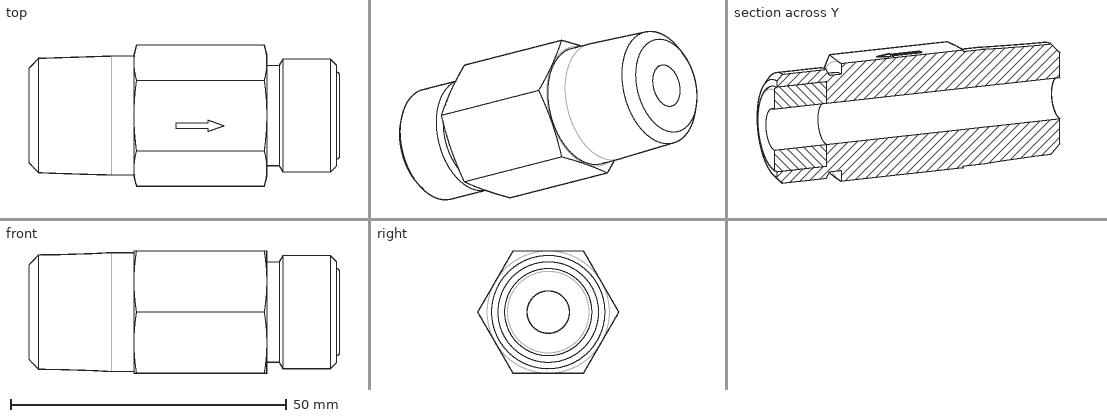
import cadquery as cq
import math


TOTAL_LENGTH = 56.45
BORE_DIAMETER = 7.7

PIPE_DIAMETER = 21.7
PIPE_TAPER = 1 / 16
PIPE_END_DIAMETER = 17.2
PIPE_CHAMFER_LENGTH = 1.75
PIPE_TAPER_LENGTH = 13.2
PIPE_SHANK_LENGTH = 4.1

HEX_SIDES = 6
HEX_ACROSS_FLATS = 22.25
HEX_LENGTH = 24.15
HEX_CHAMFER_ANGLE = 15.0

THREAD_DIAMETER = 20.6
NECK_DIAMETER = 18.3
NECK_LENGTH = 2.25
RUNOUT_ANGLE = 60.0

INSERT_DIAMETER = 15.85
INSERT_PROTRUSION = 0.5

ARROW_START_FROM_END = 26.7
ARROW_SHAFT_LENGTH = 5.8
ARROW_HEAD_LENGTH = 2.95
ARROW_SHAFT_WIDTH = 0.95
ARROW_HEAD_WIDTH = 2.1
ARROW_OFFSET_Y = -1.85
ARROW_DEPTH = 0.1

pipe_radius = PIPE_DIAMETER / 2
pipe_tip_radius = pipe_radius - PIPE_TAPER * PIPE_TAPER_LENGTH / 2
thread_radius = THREAD_DIAMETER / 2
neck_radius = NECK_DIAMETER / 2
hex_across_corners = HEX_ACROSS_FLATS / math.cos(math.pi / HEX_SIDES)

x_start = -TOTAL_LENGTH / 2
x_end = TOTAL_LENGTH / 2
x_taper_start = x_start + PIPE_CHAMFER_LENGTH
x_taper_end = x_taper_start + PIPE_TAPER_LENGTH
x_hex_start = x_taper_end + PIPE_SHANK_LENGTH
x_hex_end = x_hex_start + HEX_LENGTH
x_neck_end = x_hex_end + NECK_LENGTH
thread_depth = thread_radius - neck_radius
x_thread_start = x_neck_end + thread_depth / math.tan(math.radians(RUNOUT_ANGLE))
x_housing_end = x_end - INSERT_PROTRUSION
x_thread_end = x_housing_end - thread_depth


def revolve_profile(points):
    """Revolve a closed (x, radius) outline around the X axis."""
    return cq.Workplane("XY").polyline(points).close().revolve(360, (0, 0, 0), (1, 0, 0))


def cylinder_along_x(diameter, x_from, x_to):
    return cq.Workplane("YZ", origin=(x_from, 0, 0)).circle(diameter / 2).extrude(x_to - x_from)


def make_turned_body():
    """Pipe thread, core under the hexagon, neck and straight thread."""
    return revolve_profile([
        (x_start, 0),
        (x_start, PIPE_END_DIAMETER / 2),
        (x_taper_start, pipe_tip_radius),
        (x_taper_end, pipe_radius),
        (x_hex_end, pipe_radius),
        (x_hex_end, neck_radius),
        (x_neck_end, neck_radius),
        (x_thread_start, thread_radius),
        (x_thread_end, thread_radius),
        (x_housing_end, neck_radius),
        (x_housing_end, 0),
    ])


def make_hexagon():
    """Hexagon with flats facing +Z and -Z and its corners chamfered at both ends."""
    prism = (
        cq.Workplane("YZ", origin=(x_hex_start, 0, 0))
        .polygon(HEX_SIDES, hex_across_corners)
        .extrude(HEX_LENGTH)
    )
    flat_radius = HEX_ACROSS_FLATS / 2
    corner_radius = hex_across_corners / 2
    chamfer_length = (corner_radius - flat_radius) * math.tan(math.radians(HEX_CHAMFER_ANGLE))
    envelope = revolve_profile([
        (x_hex_start, 0),
        (x_hex_start, flat_radius),
        (x_hex_start + chamfer_length, corner_radius),
        (x_hex_end - chamfer_length, corner_radius),
        (x_hex_end, flat_radius),
        (x_hex_end, 0),
    ])
    return prism.intersect(envelope)


def make_flow_arrow():
    """Cutter for the arrow that points along +X in the top flat."""
    x_tail = x_start + ARROW_START_FROM_END
    x_head = x_tail + ARROW_SHAFT_LENGTH
    x_tip = x_head + ARROW_HEAD_LENGTH
    half_shaft = ARROW_SHAFT_WIDTH / 2
    half_head = ARROW_HEAD_WIDTH / 2
    return (
        cq.Workplane("XY", origin=(0, ARROW_OFFSET_Y, HEX_ACROSS_FLATS / 2))
        .polyline([
            (x_tail, -half_shaft),
            (x_head, -half_shaft),
            (x_head, -half_head),
            (x_tip, 0),
            (x_head, half_head),
            (x_head, half_shaft),
            (x_tail, half_shaft),
        ])
        .close()
        .extrude(-ARROW_DEPTH)
    )


def make_housing():
    """Hexagonal housing with a through bore and a recess for the insert."""
    bore = cylinder_along_x(BORE_DIAMETER, x_start, x_housing_end)
    recess = cylinder_along_x(INSERT_DIAMETER, x_thread_start, x_housing_end)
    return (
        make_turned_body()
        .union(make_hexagon())
        .cut(bore)
        .cut(recess)
        .cut(make_flow_arrow())
    )


def make_insert():
    """Bored plug that stands proud of the housing with a rounded outer rim."""
    plug = cylinder_along_x(INSERT_DIAMETER, x_thread_start, x_end)
    rounded_plug = plug.faces(">X").edges().fillet(INSERT_PROTRUSION)
    return rounded_plug.cut(cylinder_along_x(BORE_DIAMETER, x_thread_start, x_end))


housing = make_housing()
insert = make_insert()

result = cq.Compound.makeCompound([housing.val(), insert.val()])